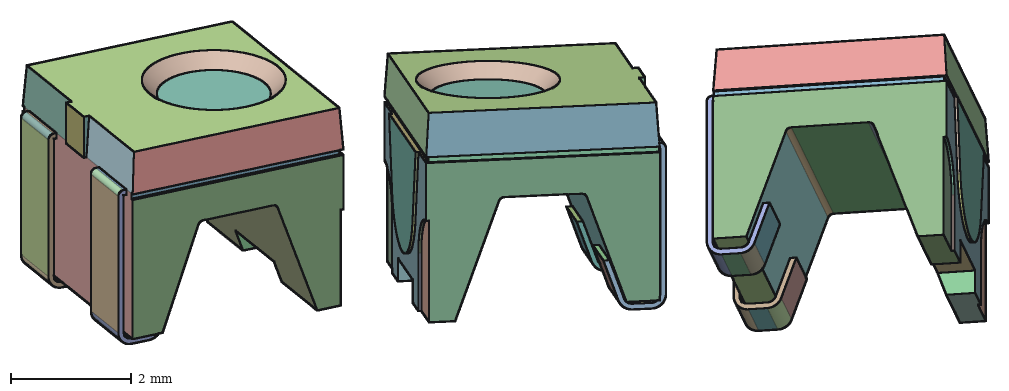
import cadquery as cq
import math

half_width = 2.0
front_y = -1.95
body_center_y = (half_width + front_y) / 2
total_height = 3.6
body_top = 2.75
cap_bottom = 2.85
neck_inset = 0.05
front_leg_bottom = 0.2

tunnel_top = 2.1
tunnel_half_top = 0.72
tunnel_slope = math.tan(math.radians(20))
tunnel_corner_radius = 0.1

leg_gap_width = 1.4
leg_gap_height = 0.4

layer_thickness = 0.05
pad_shoulder_z = 1.75
pad_fillet = 0.75
shield_half_width = 1.265
shield_radius = 1.0
shield_center_z = 1.7

cap_taper = 0.05
mark_width = 0.64
mark_face_y = -2.0
dish_center_y = 0.6
dish_top_radius = 1.2
dish_floor_radius = 0.95
dish_depth = 0.25

clip_width = 1.0
clip_center_x = 1.27
clip_thickness = 0.1
clip_outer_y = -2.1
clip_tip_z = 0.87
clip_top_radius = 0.095
clip_bend_radius = 0.25
clip_inner_radius = clip_bend_radius - clip_thickness


def box(x_range, y_range, z_range):
    """Axis-aligned block from its limits along each axis."""
    size = [high - low for low, high in (x_range, y_range, z_range)]
    corner = (x_range[0], y_range[0], z_range[0])
    return cq.Workplane("XY").box(*size, centered=False).translate(corner)


def tunnel_half_width(z):
    """Half width of the tunnel along Y at height z."""
    return tunnel_half_top + (tunnel_top - z) * tunnel_slope


def prism_along_x(points, length):
    """Prism of a (Y, Z) outline, centred on X = 0."""
    return cq.Workplane("YZ").polyline(points).close().extrude(length / 2, both=True)


def make_body():
    core_back_y = half_width - layer_thickness
    full_x = (-half_width, half_width)
    body = box(full_x, (front_y, core_back_y), (0, body_top)).union(make_back_pad())

    neck_x = half_width - neck_inset
    neck = box((-neck_x, neck_x), (front_y, half_width - neck_inset), (body_top, cap_bottom))
    body = body.union(neck).union(make_shield())

    base = tunnel_half_width(0)
    tunnel = prism_along_x(
        [(-base, 0), (base, 0), (tunnel_half_top, tunnel_top), (-tunnel_half_top, tunnel_top)],
        2 * half_width,
    )
    tunnel = tunnel.faces(">Z").edges("|X").fillet(tunnel_corner_radius)
    tunnel = tunnel.translate((0, body_center_y, 0))
    front_leg_trim = box(full_x, (front_y, 0), (0, front_leg_bottom))
    half_gap = leg_gap_width / 2
    leg_gap = box((-half_gap, half_gap), (0, half_width), (0, leg_gap_height))
    return body.cut(tunnel).cut(front_leg_trim).cut(leg_gap)


def make_back_pad():
    """T-shaped raised layer on the +Y face, with concave fillets under its arms."""
    stem = half_width - pad_fillet
    fillet_end_z = pad_shoulder_z - pad_fillet
    diagonal = pad_fillet * math.sqrt(0.5)
    arc_mid_x = half_width - diagonal
    arc_mid_z = fillet_end_z + diagonal
    pad = (
        cq.Workplane("XZ", origin=(0, half_width, 0))
        .moveTo(-half_width, body_top)
        .lineTo(half_width, body_top)
        .lineTo(half_width, pad_shoulder_z)
        .threePointArc((arc_mid_x, arc_mid_z), (stem, fillet_end_z))
        .lineTo(stem, 0)
        .lineTo(-stem, 0)
        .lineTo(-stem, fillet_end_z)
        .threePointArc((-arc_mid_x, arc_mid_z), (-half_width, pad_shoulder_z))
        .close()
    )
    return pad.extrude(layer_thickness)


def make_shield():
    """Outer +Y layer: sides tapering down tangentially into a round lower end."""
    rise = body_top - shield_center_z
    corner_distance = math.hypot(shield_half_width, rise)
    tangent_angle = math.atan2(rise, shield_half_width) - math.acos(shield_radius / corner_distance)
    tangent_x = shield_radius * math.cos(tangent_angle)
    tangent_z = shield_center_z + shield_radius * math.sin(tangent_angle)
    shield = (
        cq.Workplane("XZ", origin=(0, half_width + layer_thickness, 0))
        .moveTo(-shield_half_width, body_top)
        .lineTo(shield_half_width, body_top)
        .lineTo(tangent_x, tangent_z)
        .threePointArc((0, shield_center_z - shield_radius), (-tangent_x, tangent_z))
        .close()
    )
    return shield.extrude(layer_thickness)


def make_cap():
    depth = half_width - front_y
    height = total_height - cap_bottom
    cap = (
        cq.Workplane("XY", origin=(0, body_center_y, cap_bottom))
        .rect(2 * half_width, depth)
        .workplane(offset=height)
        .rect(2 * (half_width - cap_taper), depth - 2 * cap_taper)
        .loft(ruled=True)
    )
    half_mark = mark_width / 2
    mark = box((-half_mark, half_mark), (mark_face_y, front_y + cap_taper), (cap_bottom, total_height))
    dish = (
        cq.Workplane("XY", origin=(0, dish_center_y, total_height - dish_depth))
        .circle(dish_floor_radius)
        .workplane(offset=dish_depth)
        .circle(dish_top_radius)
        .loft(ruled=True)
    )
    return cap.union(mark).cut(dish)


def hook_block(outer_y, bottom_z, wall_offset, bend_radius):
    """Block below the clip tip, with one upright side, one side parallel to the tunnel wall."""
    wall_center_y = body_center_y + wall_offset
    bottom_y = wall_center_y - tunnel_half_width(bottom_z)
    tip_y = wall_center_y - tunnel_half_width(clip_tip_z)
    block = prism_along_x(
        [(outer_y, bottom_z), (bottom_y, bottom_z), (tip_y, clip_tip_z), (outer_y, clip_tip_z)],
        clip_width,
    )
    return block.faces("<Z").edges("|X").fillet(bend_radius)


def make_clip():
    """Strip leaving the neck, running down the -Y side and hooking up inside the tunnel."""
    inner_y = clip_outer_y + clip_thickness
    arm_offset = clip_thickness * math.hypot(1, tunnel_slope)
    hook = hook_block(clip_outer_y, 0, arm_offset, clip_bend_radius)
    hook = hook.cut(hook_block(inner_y, clip_thickness, 0, clip_inner_radius))

    half_clip = clip_width / 2
    clip_x = (-half_clip, half_clip)
    upright = box(clip_x, (clip_outer_y, inner_y), (clip_tip_z, cap_bottom))
    root = box(clip_x, (inner_y, front_y), (cap_bottom - clip_thickness, cap_bottom))
    strip = upright.union(root).edges("|X and >Z and <Y").fillet(clip_top_radius)
    return hook.union(strip)


result = make_body().union(make_cap())
for side in (-1, 1):
    result = result.union(make_clip().translate((side * clip_center_x, 0, 0)))